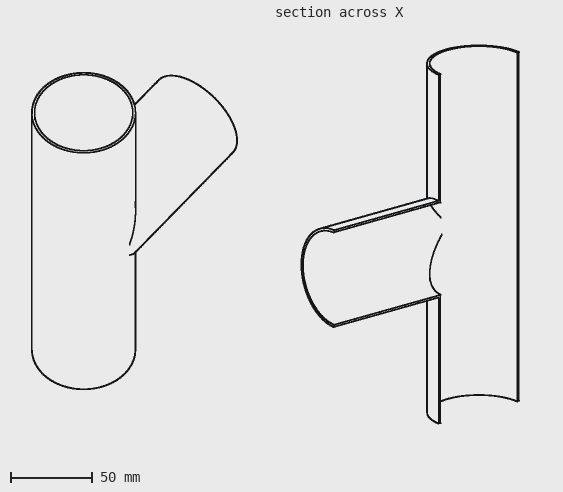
import cadquery as cq

outer_diameter = 63.5
bore_diameter = 60.2
run_length = 228.0
branch_reach = run_length / 2


def run_cylinder(diameter):
    """Vertical cylinder centred on the origin."""
    return cq.Workplane("XY").circle(diameter / 2).extrude(run_length / 2, both=True)


def branch_cylinder(diameter):
    """Horizontal cylinder from the run axis to the branch end at +Y."""
    return cq.Workplane("XZ").circle(diameter / 2).extrude(-branch_reach)


def tee(diameter):
    """Run and branch of one diameter joined at mid-height."""
    return run_cylinder(diameter).union(branch_cylinder(diameter))


result = tee(outer_diameter).cut(tee(bore_diameter))